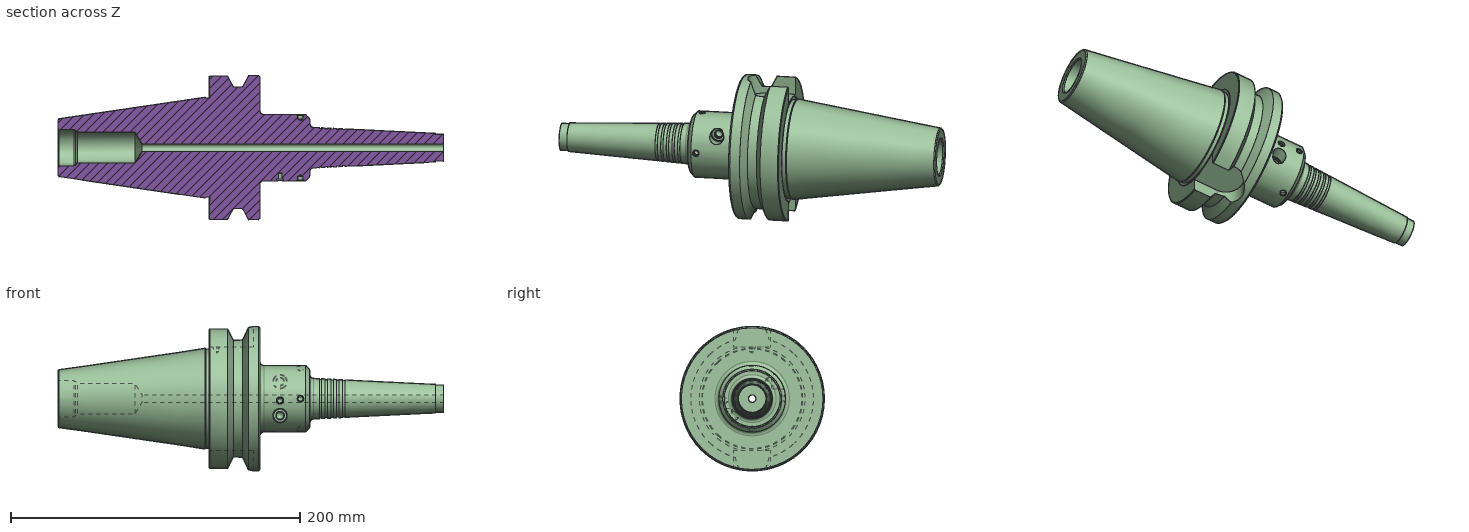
import cadquery as cq
import math

total_length = 266.8

taper_ratio = 7 / 24
taper_length = 101.7
taper_large_radius = 35.0
taper_small_radius = taper_large_radius - taper_length * taper_ratio / 2
taper_edge_chamfer = 0.8
relief_radius = 34.5
relief_chamfer_length = 0.8

flange_start = 104.5
flange_end = 139.8
flange_radius = 100.0 / 2
rear_rim_radius = 50.0
rear_rim_chamfer = 0.5
front_rim_chamfer = 1.0
face_recess_radius = 36.5
face_recess_depth = 0.5
groove_left = 117.5
groove_floor_left = 121.5
groove_floor_right = 127.8
groove_right = 131.8
groove_floor_radius = 42.5

slot_width = 25.5
slot_floor_height = 35.8
slot_end = 135.3

hub_end = 174.5
hub_radius = 46.2 / 2
hub_root_fillet = 2.7
hub_chamfer = 2.7
hub_edge_length = 0.5
hub_edge_height = 1.0

nose_root_radius = 14.1
nose_root_fillet = 2.5
nose_cone_end = 261.2
nose_cone_end_radius = 20.0 / 2
tip_radius = 19.0 / 2

ring_count = 5
ring_start = 181.0
ring_pitch = 4.0
ring_width = 1.5
ring_depth = 0.5

bore_mouth_chamfer = 0.8
entry_bore_radius = 12.5
entry_bore_depth = 11.2
drill_radius = 21.0 / 2
drill_mouth_radius = 12.0
drill_mouth_start = 12.0
drill_depth = 53.4
drill_point_half_angle = math.radians(59)
coolant_radius = 5.0 / 2

screw_steps = [(4.5, 0.8), (3.5, 3.2)]
slot_screw_x = 109.5
hub_screw_x = 167.8

side_hole_x = 153.7
clamp_hole_offset = 11.7
clamp_hole_steps = [(10.0, 8.8), (9.0, 9.5), (6.0, 12.0), (5.0, 12.8)]
pin_hole_offset = 1.3
pin_hole_steps = [(5.0, 1.3), (3.5, 5.3)]


def revolve_about_x(outline):
    """Close an outline drawn in the XY plane and turn it about the X axis."""
    return outline.close().revolve(360, (0, 0, 0), (1, 0, 0))


def turned_body():
    diagonal = math.sqrt(0.5)
    fillet_start = nose_root_radius + nose_root_fillet
    chamfer_end = hub_end - hub_edge_length
    chamfer_end_radius = hub_radius - hub_chamfer
    root_centre = (flange_end + hub_root_fillet, hub_radius + hub_root_fillet)
    nose_centre = (hub_end + nose_root_fillet, fillet_start)

    outline = (
        cq.Workplane("XY")
        .moveTo(0, 0)
        .lineTo(0, taper_small_radius - taper_edge_chamfer)
        .lineTo(taper_edge_chamfer, taper_small_radius)
        .lineTo(taper_length, taper_large_radius)
        .lineTo(taper_length + relief_chamfer_length, relief_radius)
        .lineTo(flange_start + face_recess_depth, relief_radius)
        .lineTo(flange_start + face_recess_depth, face_recess_radius)
        .lineTo(flange_start, face_recess_radius)
        .lineTo(flange_start, rear_rim_radius - rear_rim_chamfer)
        .lineTo(flange_start + rear_rim_chamfer, rear_rim_radius)
        .lineTo(groove_left, rear_rim_radius)
        .lineTo(groove_floor_left, groove_floor_radius)
        .lineTo(groove_floor_right, groove_floor_radius)
        .lineTo(groove_right, flange_radius)
        .lineTo(flange_end - front_rim_chamfer, flange_radius)
        .lineTo(flange_end, flange_radius - front_rim_chamfer)
        .lineTo(flange_end, root_centre[1])
        .threePointArc(
            (root_centre[0] - hub_root_fillet * diagonal, root_centre[1] - hub_root_fillet * diagonal),
            (root_centre[0], hub_radius),
        )
        .lineTo(chamfer_end - hub_chamfer, hub_radius)
        .lineTo(chamfer_end, chamfer_end_radius)
        .lineTo(hub_end, chamfer_end_radius - hub_edge_height)
        .lineTo(hub_end, fillet_start)
        .threePointArc(
            (nose_centre[0] - nose_root_fillet * diagonal, nose_centre[1] - nose_root_fillet * diagonal),
            (nose_centre[0], nose_root_radius),
        )
        .lineTo(nose_cone_end, nose_cone_end_radius)
        .lineTo(nose_cone_end, tip_radius)
        .lineTo(total_length, tip_radius)
        .lineTo(total_length, 0)
    )
    return revolve_about_x(outline)


def stepped_bore():
    point_length = (drill_radius - coolant_radius) / math.tan(drill_point_half_angle)
    outline = (
        cq.Workplane("XY")
        .moveTo(0, 0)
        .lineTo(0, entry_bore_radius + bore_mouth_chamfer)
        .lineTo(bore_mouth_chamfer, entry_bore_radius)
        .lineTo(entry_bore_depth, entry_bore_radius)
        .lineTo(entry_bore_depth, drill_mouth_radius)
        .lineTo(drill_mouth_start, drill_mouth_radius)
        .lineTo(drill_mouth_start + drill_mouth_radius - drill_radius, drill_radius)
        .lineTo(drill_depth, drill_radius)
        .lineTo(drill_depth + point_length, coolant_radius)
        .lineTo(total_length, coolant_radius)
        .lineTo(total_length, 0)
    )
    return revolve_about_x(outline)


def driving_slot():
    """Slot above the floor height with a full round end toward the hub."""
    half_width = slot_width / 2
    return (
        cq.Workplane("XY", origin=(0, 0, slot_floor_height))
        .moveTo(taper_length, -half_width)
        .lineTo(slot_end - half_width, -half_width)
        .threePointArc((slot_end, 0), (slot_end - half_width, half_width))
        .lineTo(taper_length, half_width)
        .close()
        .extrude(flange_radius)
    )


def nose_radius_at(x):
    cone_start = hub_end + nose_root_fillet
    fraction = (x - cone_start) / (nose_cone_end - cone_start)
    return nose_root_radius + fraction * (nose_cone_end_radius - nose_root_radius)


def ring_groove(start):
    floor_radius = nose_radius_at(start) - ring_depth
    return (
        cq.Workplane("YZ", origin=(start, 0, 0))
        .circle(hub_radius)
        .circle(floor_radius)
        .extrude(ring_width)
    )


def stepped_hole(x, offset, surface_height, steps):
    """Hole entering from +Z at (x, offset), with a drill point below its last step."""
    last_diameter, last_depth = steps[-1]
    point_depth = last_depth + last_diameter / 2 / math.tan(drill_point_half_angle)
    outline = cq.Workplane("XZ").moveTo(0, hub_radius)
    depth = -hub_radius
    for diameter, step_depth in steps:
        outline = outline.lineTo(diameter / 2, -depth).lineTo(diameter / 2, -step_depth)
        depth = step_depth
    hole = outline.lineTo(0, -point_depth).close().revolve(360, (0, 0, 0), (0, 1, 0))
    return hole.translate((x, offset, surface_height))


def turn_about_x(shape, angle):
    return shape.rotate((0, 0, 0), (1, 0, 0), angle)


body = turned_body().cut(stepped_bore())

for ring in range(ring_count):
    body = body.cut(ring_groove(ring_start + ring * ring_pitch))

slot = driving_slot()
for angle in (0, 180):
    body = body.cut(turn_about_x(slot, angle))
slot_screw = stepped_hole(slot_screw_x, 0, slot_floor_height, screw_steps)
body = body.cut(slot_screw)

hub_screw = stepped_hole(hub_screw_x, 0, hub_radius, screw_steps)
for angle in (0, 90, 180, 270):
    body = body.cut(turn_about_x(hub_screw, angle))

clamp_hole = stepped_hole(side_hole_x, -clamp_hole_offset, hub_radius, clamp_hole_steps)
for angle in (90, 270):
    body = body.cut(turn_about_x(clamp_hole, angle))

pin_hole = stepped_hole(side_hole_x, -pin_hole_offset, hub_radius, pin_hole_steps)
body = body.cut(turn_about_x(pin_hole, 90))

result = body